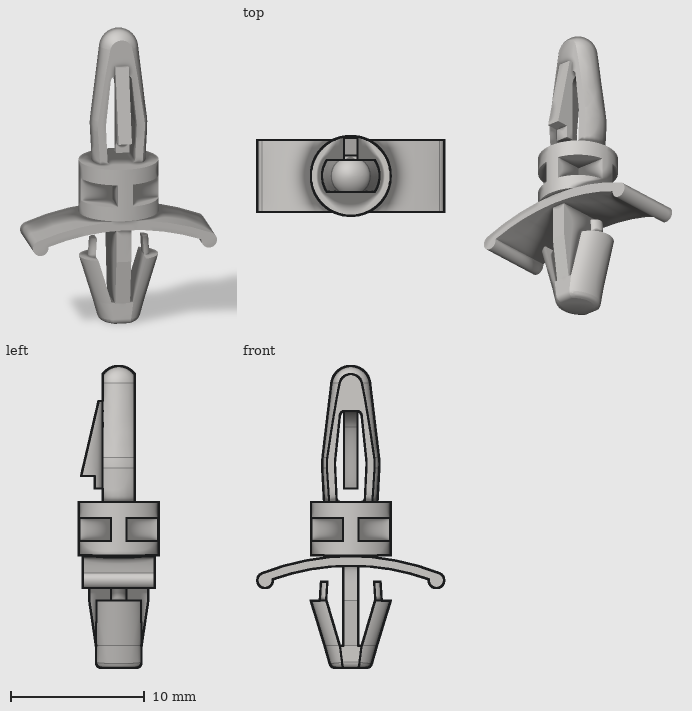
import cadquery as cq
import math

total_height = 22.6
tip_height = 1.67
barb_top = 5.05
finger_top = 6.46
wing_top = 8.36
collar_bottom = 8.43
collar_top = 12.43

dome_radius = 1.47
pin_thickness = 2.4
pin_base_radius = 2.01
pin_bulge_radius = 2.17
bulge_height = 15.37
bulge_blend = 4.52
edge_margin = 0.23
slot_top = 19.23
slot_top_half_width = 0.77
slot_bulge_half_width = 1.18
slot_base_half_width = 1.05
slot_top_fillet = 0.4
slot_base_fillet = 0.2

latch_width = 1.02
latch_top = 19.98
latch_top_reach = 1.51
latch_hook_height = 14.35
latch_hook_reach = 2.82
latch_foot_reach = 1.8
latch_bottom = 13.42

collar_diameter = 6.0
collar_radius = collar_diameter / 2
window_bottom = 9.51
window_top = 11.23
web_thickness = 1.13
neck_radius = 2.01

wing_length = 14.0
wing_width = 5.4
wing_thickness = 0.72
bead_radius = 0.59
bead_height = 6.55

stem_half_width = 2.21
tip_half_width = 1.72
tip_bottom_flat = 0.59
tip_bottom_reach = 1.5
tip_top_flat = 0.81
tip_top_reach = 1.97
tip_fillet = 0.45

barb_inner = 1.8
barb_outer = collar_radius
barb_half_width = 1.65
finger_base_inner = 1.83
finger_base_outer = 2.33
finger_top_inner = 1.75
finger_top_outer = 2.24
finger_half_width = 0.56


def make_pin():
    """Domed, waisted pin with flat front and back faces and a through slot."""
    dome_center = total_height - dome_radius
    drop = dome_center - bulge_height
    distance = math.hypot(pin_bulge_radius, drop)
    angle = math.acos(dome_radius / distance) - math.atan2(drop, pin_bulge_radius)
    mid_angle = (angle + math.pi / 2) / 2

    def on_dome(a):
        return dome_radius * math.cos(a), dome_center + dome_radius * math.sin(a)

    body = (
        cq.Workplane("XZ")
        .moveTo(0, collar_top)
        .lineTo(pin_base_radius, collar_top)
        .lineTo(pin_bulge_radius, bulge_height)
        .lineTo(*on_dome(angle))
        .threePointArc(on_dome(mid_angle), (0, total_height))
        .close()
        .revolve(360, (0, 0, 0), (0, 1, 0))
    )
    bulge_box = cq.selectors.BoxSelector(
        (-collar_radius, -collar_radius, bulge_height - edge_margin),
        (collar_radius, collar_radius, bulge_height + edge_margin),
        boundingbox=True,
    )
    body = body.edges(bulge_box).fillet(bulge_blend)
    blade = cq.Workplane("XY").box(2 * collar_radius, pin_thickness, 2 * total_height)
    slot = (
        cq.Workplane("XZ")
        .polyline([
            (-slot_base_half_width, collar_top),
            (slot_base_half_width, collar_top),
            (slot_bulge_half_width, bulge_height),
            (slot_top_half_width, slot_top),
            (-slot_top_half_width, slot_top),
            (-slot_bulge_half_width, bulge_height),
        ])
        .close()
        .extrude(collar_radius, both=True)
    )
    slot = slot.edges("|Y and >Z").fillet(slot_top_fillet)
    slot = slot.edges("|Y and <Z").fillet(slot_base_fillet)
    return body.intersect(blade).cut(slot)


def make_latch():
    """Ramped latch that hangs from the top of the slot by a concave root."""
    face = pin_thickness / 2
    arc_center = slot_top - face
    arc_mid = face * math.sqrt(0.5)
    return (
        cq.Workplane("YZ")
        .moveTo(0, slot_top)
        .threePointArc((arc_mid, arc_center + arc_mid), (face, arc_center))
        .lineTo(face, latch_bottom)
        .lineTo(latch_foot_reach, latch_bottom)
        .lineTo(latch_foot_reach, latch_hook_height)
        .lineTo(latch_hook_reach, latch_hook_height)
        .lineTo(latch_top_reach, latch_top)
        .lineTo(0, latch_top)
        .close()
        .extrude(latch_width / 2, both=True)
    )


def make_collar():
    """Round collar opened by four quadrant windows around a cross of webs."""
    height = collar_top - collar_bottom
    collar = cq.Workplane("XY").workplane(offset=collar_bottom).circle(collar_radius).extrude(height)
    window_center = (web_thickness + collar_radius) / 2
    windows = (
        cq.Workplane("XY")
        .workplane(offset=window_bottom)
        .rarray(2 * window_center, 2 * window_center, 2, 2)
        .rect(collar_radius, collar_radius)
        .extrude(window_top - window_bottom)
    )
    return collar.cut(windows)


def make_wing():
    """Arched strip whose upper arc runs tangent into the end beads."""
    bead_x = wing_length / 2 - bead_radius
    bead_drop = wing_top - bead_height
    outer_radius = (bead_x**2 + bead_drop**2 - bead_radius**2) / (2 * (bead_drop - bead_radius))
    inner_radius = outer_radius - wing_thickness
    arch_center = wing_top - outer_radius
    half_angle = math.atan2(bead_x, bead_height - arch_center)

    def on_arch(radius, angle):
        return radius * math.sin(angle), arch_center + radius * math.cos(angle)

    wing = (
        cq.Workplane("XZ")
        .moveTo(*on_arch(outer_radius, -half_angle))
        .threePointArc((0, wing_top), on_arch(outer_radius, half_angle))
        .lineTo(*on_arch(inner_radius, half_angle))
        .threePointArc((0, wing_top - wing_thickness), on_arch(inner_radius, -half_angle))
        .close()
        .extrude(wing_width / 2, both=True)
    )
    beads = (
        cq.Workplane("XZ")
        .pushPoints([(-bead_x, bead_height), (bead_x, bead_height)])
        .circle(bead_radius)
        .extrude(wing_width / 2, both=True)
    )
    return wing.union(beads)


def make_neck():
    """Short round neck that joins the collar to the arched wing."""
    neck_bottom = wing_top - wing_thickness / 2
    return (
        cq.Workplane("XY")
        .workplane(offset=neck_bottom)
        .circle(neck_radius)
        .extrude(collar_bottom - neck_bottom)
    )


def make_stem():
    """Flat central web that narrows from the barb height down to the tip."""
    stem_top = wing_top - wing_thickness / 2
    return (
        cq.Workplane("YZ")
        .polyline([
            (-tip_half_width, tip_height),
            (tip_half_width, tip_height),
            (stem_half_width, barb_top),
            (stem_half_width, stem_top),
            (-stem_half_width, stem_top),
            (-stem_half_width, barb_top),
        ])
        .close()
        .extrude(web_thickness / 2, both=True)
    )


def make_tip():
    """Tapered tip with flat front and back, bowed sides and a rounded bottom."""
    def section(plane, flat, reach):
        return (
            plane.moveTo(-flat, -tip_half_width)
            .lineTo(flat, -tip_half_width)
            .threePointArc((reach, 0), (flat, tip_half_width))
            .lineTo(-flat, tip_half_width)
            .threePointArc((-reach, 0), (-flat, -tip_half_width))
            .close()
        )

    bottom = section(cq.Workplane("XY"), tip_bottom_flat, tip_bottom_reach)
    tapered = section(bottom.workplane(offset=tip_height), tip_top_flat, tip_top_reach)
    return tapered.loft(ruled=True).faces("<Z").edges().fillet(tip_fillet)


def make_bowed_arm(bottom, top):
    """Leaning arm on the +X side, flat inside and bowed outside.

    Each end is given as (height, inner reach, outer reach, half width).
    """
    def section(plane, inner, outer, half_width):
        return (
            plane.moveTo(inner, -half_width)
            .threePointArc((outer, 0), (inner, half_width))
            .close()
        )

    lower = section(cq.Workplane("XY").workplane(offset=bottom[0]), *bottom[1:])
    both = section(lower.workplane(offset=top[0] - bottom[0]), *top[1:])
    return both.loft(ruled=True)


def make_snap():
    """Tip, stem and the two sprung barbs with their fingers."""
    barb = make_bowed_arm(
        (tip_height, tip_top_flat, tip_top_reach, tip_half_width),
        (barb_top, barb_inner, barb_outer, barb_half_width),
    )
    finger = make_bowed_arm(
        (barb_top, finger_base_inner, finger_base_outer, finger_half_width),
        (finger_top, finger_top_inner, finger_top_outer, finger_half_width),
    )
    arm = barb.union(finger)
    snap = make_tip().union(make_stem())
    for side in (arm, arm.mirror("YZ")):
        snap = snap.union(side)
    return snap


result = (
    make_collar()
    .union(make_pin())
    .union(make_latch())
    .union(make_neck())
    .union(make_wing())
    .union(make_snap())
)